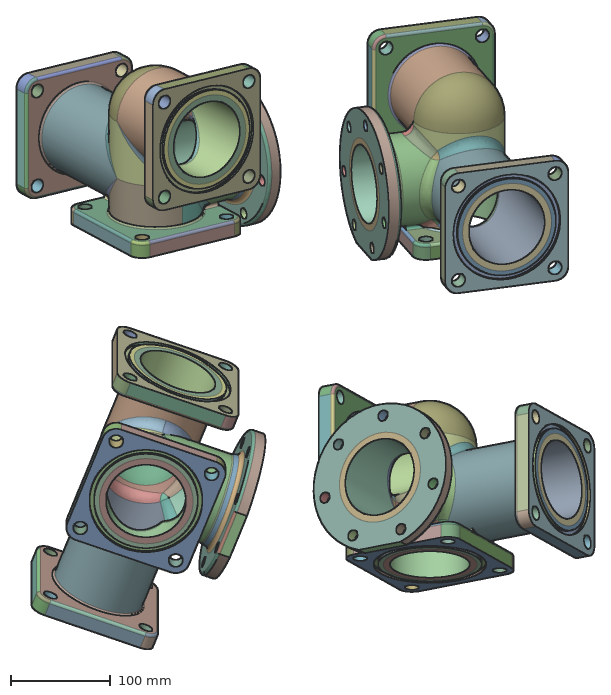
import cadquery as cq
import math

BORE_RADIUS = 40.0
WALL = 7.0
TUBE_RADIUS = BORE_RADIUS + WALL
SEAM_FILLET = 10.0
ELBOW_Z = 61.0

INLET_REACH = 153.0
OUTLET_REACH = 91.0
BASE_REACH = 63.0
BRANCH_REACH = 99.0

FLANGE_SIDE = 130.0
FLANGE_THICKNESS = 17.0
FLANGE_CORNER_RADIUS = 14.0
FLANGE_EDGE_FILLET = 3.0
FLANGE_ROOT_FILLET = 2.2
ROOT_EMBEDMENT = 0.05
BOLT_SPACING = FLANGE_SIDE - 2 * FLANGE_CORNER_RADIUS
BOLT_DIAMETER = 14.0
GROOVE_OUTER_RADIUS = 56.5
GROOVE_INNER_RADIUS = 52.0
GROOVE_DEPTH = 3.0

DISC_RADIUS = 77.0
DISC_THICKNESS = 14.0
DISC_FLAT_DROP = 73.0
DISC_EDGE_FILLET = 3.0
DISC_BOLT_COUNT = 7
DISC_BOLT_CIRCLE_RADIUS = 64.5
DISC_BOLT_DIAMETER = 11.0
DISC_BOLT_START_ANGLE = -9.5
NECK_ROOT_RADIUS = 54.0
NECK_WAIST_RADIUS = 48.6
NECK_WAIST_HEIGHT = 4.2
NECK_COLLAR_RADIUS = TUBE_RADIUS + 0.3
NECK_COLLAR_HEIGHT = 9.2
NECK_HEIGHT = 10.8

BASE_BACK_Z = FLANGE_THICKNESS - BASE_REACH

JUNCTION = (0, 0, 0)
ELBOW = (0, 0, ELBOW_Z)
INLET_PLANE = cq.Plane(origin=(-INLET_REACH, 0, 0), xDir=(0, 1, 0), normal=(1, 0, 0))
OUTLET_PLANE = cq.Plane(origin=(OUTLET_REACH, 0, ELBOW_Z), xDir=(0, 1, 0), normal=(-1, 0, 0))
BASE_PLANE = cq.Plane(origin=(0, 0, -BASE_REACH), xDir=(1, 0, 0), normal=(0, 0, 1))
BRANCH_PLANE = cq.Plane(origin=(0, BRANCH_REACH, 0), xDir=(1, 0, 0), normal=(0, -1, 0))
INLET_SECTION = cq.Plane(origin=JUNCTION, xDir=(0, -1, 0), normal=(-1, 0, 0))
BRANCH_SECTION = cq.Plane(origin=JUNCTION, xDir=(-1, 0, 0), normal=(0, 1, 0))
SQUARE_FLANGE_PLANES = (INLET_PLANE, OUTLET_PLANE, BASE_PLANE)


def cylinder(radius, start, direction, length):
    return cq.Workplane(
        cq.Solid.makeCylinder(radius, length, cq.Vector(*start), cq.Vector(*direction))
    )


def tube_network(radius, seam_fillet):
    """Solid of the four round branches and the ball elbow, with rounded seams."""
    junction = cylinder(radius, (0, 0, -BASE_REACH), (0, 0, 1), BASE_REACH + ELBOW_Z)
    junction = junction.union(cylinder(radius, JUNCTION, (-1, 0, 0), INLET_REACH))
    junction = junction.union(cylinder(radius, JUNCTION, (0, 1, 0), BRANCH_REACH))
    junction = junction.edges("%ELLIPSE").fillet(seam_fillet)

    elbow = cylinder(radius, JUNCTION, (0, 0, 1), ELBOW_Z)
    elbow = elbow.union(cylinder(radius, ELBOW, (1, 0, 0), OUTLET_REACH))
    elbow = elbow.edges("%ELLIPSE").fillet(seam_fillet)
    elbow = elbow.union(cq.Workplane("XY").sphere(radius).translate(ELBOW))
    return junction.union(elbow, clean=False)


def square_flange(plane):
    plate = cq.Workplane(plane).rect(FLANGE_SIDE, FLANGE_SIDE).extrude(FLANGE_THICKNESS)
    plate = plate.edges(cq.selectors.ParallelDirSelector(plane.zDir)).fillet(FLANGE_CORNER_RADIUS)
    back_face = plate.faces(cq.selectors.DirectionMinMaxSelector(plane.zDir, True))
    return back_face.edges().fillet(FLANGE_EDGE_FILLET)


def root_ring(plane):
    """Concave fillet between a tube and the back of its square flange, sunk slightly into the tube."""
    rim_radius = TUBE_RADIUS + FLANGE_ROOT_FILLET
    fillet_radius = FLANGE_ROOT_FILLET + ROOT_EMBEDMENT
    top = FLANGE_THICKNESS + fillet_radius
    reach = fillet_radius * math.sqrt(0.5)
    ring = (
        cq.Workplane("XZ")
        .moveTo(BORE_RADIUS, FLANGE_THICKNESS)
        .lineTo(rim_radius, FLANGE_THICKNESS)
        .threePointArc((rim_radius - reach, top - reach), (rim_radius - fillet_radius, top))
        .lineTo(BORE_RADIUS, top)
        .close()
        .revolve(360, (0, 0, 0), (0, 1, 0))
    )
    return cq.Workplane(ring.val().moved(cq.Location(plane)))


def base_root_strip(plane):
    """Fill between the back of the base flange and a side tube running just above it.

    The local X and Y axes of the plane are the width and the height; the tube runs along its normal.
    """
    centre_distance = TUBE_RADIUS + FLANGE_ROOT_FILLET
    centre_height = BASE_BACK_Z + FLANGE_ROOT_FILLET
    centre_width = math.sqrt(centre_distance**2 - centre_height**2)
    contact_width = centre_width * TUBE_RADIUS / centre_distance
    contact_height = centre_height * TUBE_RADIUS / centre_distance
    return (
        cq.Workplane(plane)
        .moveTo(-centre_width, BASE_BACK_Z)
        .lineTo(centre_width, BASE_BACK_Z)
        .radiusArc((contact_width, contact_height), FLANGE_ROOT_FILLET)
        .lineTo(-contact_width, contact_height)
        .radiusArc((-centre_width, BASE_BACK_Z), FLANGE_ROOT_FILLET)
        .close()
        .extrude(FLANGE_SIDE / 2 - FLANGE_EDGE_FILLET)
    )


def square_flange_cuts(plane):
    """Four bolt holes and the seal groove of a square flange."""
    bolts = (
        cq.Workplane(plane)
        .rect(BOLT_SPACING, BOLT_SPACING, forConstruction=True)
        .vertices()
        .circle(BOLT_DIAMETER / 2)
        .extrude(FLANGE_THICKNESS)
    )
    groove = (
        cq.Workplane(plane).circle(GROOVE_OUTER_RADIUS).circle(GROOVE_INNER_RADIUS).extrude(GROOVE_DEPTH)
    )
    return bolts.union(groove)


def branch_flange():
    """Round flange with its neck flaring out from the branch tube."""
    disc = cq.Workplane(BRANCH_PLANE).circle(DISC_RADIUS).extrude(DISC_THICKNESS)
    above_flat = cq.Workplane("XY", origin=(0, 0, -DISC_FLAT_DROP)).rect(
        2 * DISC_RADIUS, 2 * BRANCH_REACH
    )
    disc = disc.intersect(above_flat.extrude(DISC_FLAT_DROP + DISC_RADIUS))
    disc = disc.faces("<Y").edges().fillet(DISC_EDGE_FILLET)
    waist_y = DISC_THICKNESS + NECK_WAIST_HEIGHT
    neck_y = DISC_THICKNESS + NECK_HEIGHT
    neck = (
        cq.Workplane("XZ")
        .moveTo(BORE_RADIUS, neck_y)
        .lineTo(TUBE_RADIUS, neck_y)
        .lineTo(NECK_COLLAR_RADIUS, DISC_THICKNESS + NECK_COLLAR_HEIGHT)
        .lineTo(NECK_WAIST_RADIUS, waist_y)
        .tangentArcPoint((NECK_ROOT_RADIUS, DISC_THICKNESS), relative=False)
        .lineTo(BORE_RADIUS, DISC_THICKNESS)
        .close()
        .revolve(360, (0, 0, 0), (0, 1, 0))
    )
    return disc.union(cq.Workplane(neck.val().moved(cq.Location(BRANCH_PLANE))))


def branch_bolts():
    return (
        cq.Workplane("XZ", origin=(0, BRANCH_REACH, 0))
        .polarArray(DISC_BOLT_CIRCLE_RADIUS, DISC_BOLT_START_ANGLE, 360, DISC_BOLT_COUNT)
        .circle(DISC_BOLT_DIAMETER / 2)
        .extrude(DISC_THICKNESS)
    )


body = tube_network(TUBE_RADIUS, SEAM_FILLET)
for flange_plane in SQUARE_FLANGE_PLANES:
    flange = square_flange(flange_plane).union(root_ring(flange_plane))
    if flange_plane is BASE_PLANE:
        for section_plane in (INLET_SECTION, BRANCH_SECTION):
            flange = flange.union(base_root_strip(section_plane))
    body = body.union(flange, clean=False)
body = body.union(branch_flange(), clean=False)
for flange_plane in SQUARE_FLANGE_PLANES:
    body = body.cut(square_flange_cuts(flange_plane), clean=False)
body = body.cut(branch_bolts(), clean=False)
result = body.cut(tube_network(BORE_RADIUS, SEAM_FILLET), clean=False)